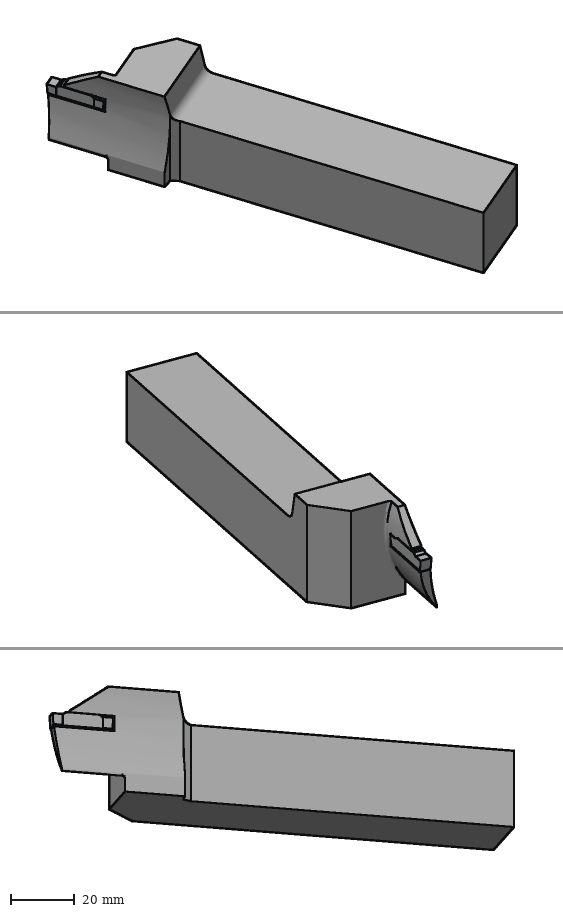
import cadquery as cq

length = 150.0
depth = 29.5
height = 35.0
shank_size = 25.0
shank_front = depth - shank_size

head_left = 22.6
head_corner = 10.2
head_end_top = 40.8
head_end_front = 42.2
wall_foot_x = 42.5
wall_foot_y = 3.5
wall_foot_z = 27.3
overrun = 1.5
blend_end = 45.3

blade_bottom = 5.1
blade_toe = 2.2
blade_nose = 0.5
slope_start = (5.8, 26.4)
slope_end_x = 18.0
front_peak_y = 3.5
front_peak_z = 25.6
front_foot_z = 6.0
back_peak_y = 7.0
back_peak_z = 24.8
root_fillet = 0.8

insert_length = 19.6
insert_bottom = 20.7
insert_top = 25.6
edge_height = 24.9
edge_length = 3.3
edge_ramp = 1.2
nose_relief = 0.3
insert_front = 3.2
insert_back = back_peak_y
waist_inset = 0.2
keel_bevel = 0.6
pocket_end = 20.1
pocket_back = 6.0


def prism_xz(sketch, front, back):
    """Extrude a closed XZ sketch from Y = front to Y = back."""
    return sketch.extrude(front - back).translate((0, front, 0))


def arc_radius(drop, half_chord):
    """Radius of an arc that falls by drop at half_chord from its peak."""
    return (half_chord**2 + drop**2) / (2 * drop)


def curved_cylinder(peak_y, peak_z, foot_z):
    """Cylinder along X whose rearmost line is the peak, crossing Y = 0 at foot_z."""
    radius = arc_radius(peak_y, peak_z - foot_z)
    return cq.Workplane("YZ").center(peak_y - radius, peak_z).circle(radius).extrude(length)


def make_head():
    plan = (
        cq.Workplane("XY")
        .moveTo(blend_end, depth)
        .lineTo(head_left + head_corner, depth)
        .lineTo(head_left, depth - head_corner)
        .lineTo(head_left, 0)
        .lineTo(head_end_front, 0)
        .lineTo(wall_foot_x, wall_foot_y)
        .lineTo(blend_end, shank_front)
        .close()
        .extrude(height)
    )
    side = (
        cq.Workplane("XZ")
        .moveTo(head_left, height)
        .lineTo(head_left, 0)
        .lineTo(blend_end + overrun, 0)
        .lineTo(blend_end + overrun, shank_size)
        .lineTo(blend_end, shank_size)
        .tangentArcPoint((wall_foot_x, wall_foot_z), relative=False)
        .lineTo(head_end_top, height)
        .close()
    )
    return plan.intersect(prism_xz(side, 0, depth))


def make_blade():
    outline = (
        cq.Workplane("XZ")
        .moveTo(blade_toe, blade_bottom)
        .lineTo(blade_nose, insert_bottom)
        .lineTo(blade_nose, insert_top)
        .lineTo(slope_start[0], insert_top)
        .lineTo(*slope_start)
        .lineTo(slope_end_x, height)
        .lineTo(head_left, height)
        .lineTo(head_left, blade_bottom)
        .close()
    )
    back = curved_cylinder(back_peak_y, back_peak_z, blade_bottom)
    return prism_xz(outline, 0, depth).intersect(back)


def cut_pocket(holder, insert):
    """Seat the insert, with clearance around its inner end and free space over its nose."""
    pocket_height = insert_top - insert_bottom
    clearance = cq.Workplane("XY").box(pocket_end, pocket_back, pocket_height, centered=False)
    nose_gap = cq.Workplane("XY").box(edge_length + edge_ramp, depth, pocket_height, centered=False)
    for space in (clearance, nose_gap):
        holder = holder.cut(space.translate((0, 0, insert_bottom)))
    return holder.cut(insert)


def make_holder(insert):
    shank = cq.Workplane("XY").box(length - blend_end, shank_size, shank_size, centered=False)
    shank = shank.translate((blend_end, shank_front, 0))
    holder = make_head().union(make_blade())

    reach = 1.5
    corner = cq.selectors.BoxSelector(
        (head_left - reach, -reach, blade_bottom - reach),
        (head_left + reach, back_peak_y + reach, height + reach),
    )
    holder = holder.edges(corner).edges("%CIRCLE").fillet(root_fillet)

    holder = holder.cut(curved_cylinder(front_peak_y, front_peak_z, front_foot_z))
    return cut_pocket(holder, insert).union(shank)


def make_insert():
    profile = (
        cq.Workplane("XZ")
        .moveTo(nose_relief, insert_bottom)
        .lineTo(0, edge_height)
        .lineTo(edge_length, edge_height)
        .lineTo(edge_length + edge_ramp, insert_top)
        .lineTo(insert_length - edge_length - edge_ramp, insert_top)
        .lineTo(insert_length - edge_length, edge_height)
        .lineTo(insert_length, edge_height)
        .lineTo(insert_length - nose_relief, insert_bottom)
        .close()
    )
    insert = prism_xz(profile, insert_front, insert_back)
    insert = insert.faces("<Z").edges("<Y").chamfer(keel_bevel)
    waist_length = insert_length - 2 * edge_length
    waist = cq.Workplane("XY").box(waist_length, waist_inset, height, centered=False)
    return insert.cut(waist.translate((edge_length, insert_front, 0)))


insert = make_insert()
holder = make_holder(insert)
result = cq.Compound.makeCompound([holder.val(), insert.val()])